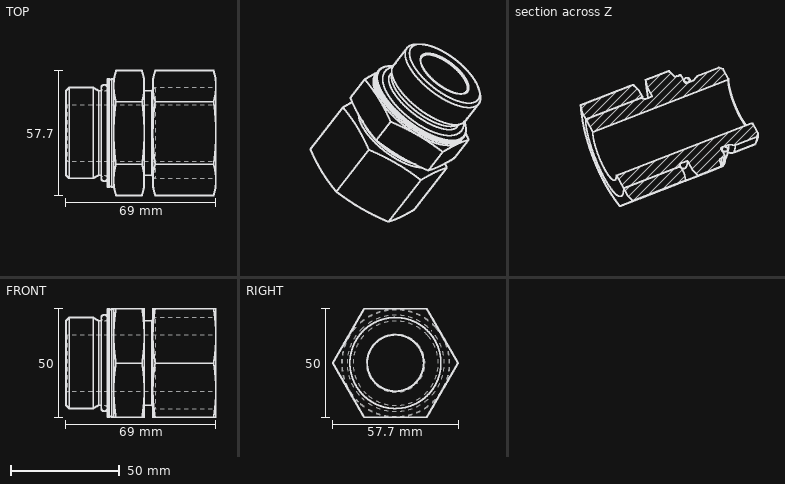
import cadquery as cq
import math


total_length = 69.0
cone_end = 15.0
collar_start = 19.0
hex_start = 22.0
hex_end = 36.0
rear_thread_start = 39.55
nut_start = 40.0

bore_radius = 13.0
neck_radius = 19.5
thread_radius = 21.0
collar_radius = 24.9
across_flats = 50.0

bore_chamfer = 0.5
collar_chamfer = 0.3
thread_cone_angle = 30.0
hex_chamfer_angle = 15.0
groove_centre = (collar_start + hex_start) / 2
groove_width = 1.0
groove_depth = 0.3
ring_section_radius = 1.4

thread_step = thread_radius - neck_radius
thread_end = cone_end - thread_step / math.tan(math.radians(thread_cone_angle))
corner_radius = across_flats / 2 / math.cos(math.radians(30))


def revolve_about_x(outline):
    """Turn an open outline drawn as (X, radius) into a full revolution about the X axis."""
    return outline.close().revolve(360, (0, 0, 0), (1, 0, 0))


def cylinder(radius, start, end):
    return cq.Workplane("YZ", origin=(start, 0, 0)).circle(radius).extrude(end - start)


def chamfered_hexagon(start, end):
    """Hexagon with flats at top and bottom and its corners turned down at both ends."""
    prism = (
        cq.Workplane("YZ", origin=(start, 0, 0))
        .polygon(6, 2 * corner_radius)
        .extrude(end - start)
    )
    face_radius = across_flats / 2
    setback = (corner_radius - face_radius) * math.tan(math.radians(hex_chamfer_angle))
    turned = revolve_about_x(
        cq.Workplane("XY")
        .moveTo(start, 0)
        .lineTo(start, face_radius)
        .lineTo(start + setback, corner_radius)
        .lineTo(end - setback, corner_radius)
        .lineTo(end, face_radius)
        .lineTo(end, 0)
    )
    return prism.intersect(turned)


def make_stud():
    turned = revolve_about_x(
        cq.Workplane("XY")
        .lineTo(0, neck_radius)
        .lineTo(thread_step, thread_radius)
        .lineTo(thread_end, thread_radius)
        .lineTo(cone_end, neck_radius)
        .lineTo(collar_start, neck_radius)
        .lineTo(collar_start, collar_radius - collar_chamfer)
        .lineTo(collar_start + collar_chamfer, collar_radius)
        .lineTo(groove_centre - groove_width / 2, collar_radius)
        .threePointArc(
            (groove_centre, collar_radius - groove_depth),
            (groove_centre + groove_width / 2, collar_radius),
        )
        .lineTo(hex_start, collar_radius)
        .lineTo(hex_start, neck_radius)
        .lineTo(rear_thread_start, neck_radius)
        .lineTo(rear_thread_start + thread_step, thread_radius)
        .lineTo(total_length, thread_radius)
        .lineTo(total_length, 0)
    )
    bore = cylinder(bore_radius, 0, total_length)
    countersink = revolve_about_x(
        cq.Workplane("XY")
        .lineTo(0, bore_radius + bore_chamfer)
        .lineTo(bore_chamfer, bore_radius)
        .lineTo(bore_chamfer, 0)
    )
    return turned.union(chamfered_hexagon(hex_start, hex_end)).cut(bore).cut(countersink)


def make_sealing_ring():
    section = (
        cq.Workplane("XY")
        .moveTo(collar_start - ring_section_radius, neck_radius + ring_section_radius)
        .circle(ring_section_radius)
    )
    return section.revolve(360, (0, 0, 0), (1, 0, 0))


def make_nut():
    nut_bore = cylinder(thread_radius, nut_start, total_length)
    return chamfered_hexagon(nut_start, total_length).cut(nut_bore)


stud = make_stud()
sealing_ring = make_sealing_ring()
nut = make_nut()

result = cq.Compound.makeCompound([
    stud.solids().val(),
    sealing_ring.solids().val(),
    nut.solids().val(),
])